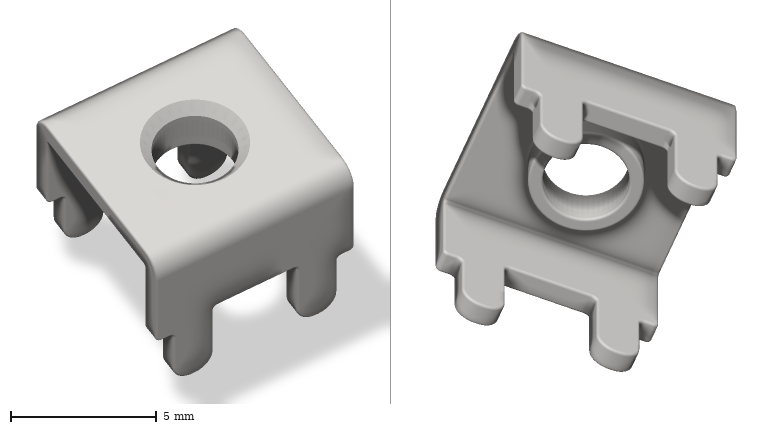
import cadquery as cq

width = 8.0
depth = 8.0
height = 6.85
thickness = 0.8
outer_bend_radius = 0.8
inner_bend_radius = 0.1
edge_radius = 0.1
length_tolerance = 0.001

shoulder_height = 2.65
notch_height = 3.14
leg_width = 1.6
leg_pitch = 5.0
tip_radius = 0.75
corner_radius = 0.2

boss_diameter = 4.0
boss_end_below_top = 2.0
hole_diameter = 3.0
countersink_diameter = 3.8
countersink_angle = 90.0

inner_width = width - 2 * thickness
inner_height = height - thickness
boss_end_z = height - boss_end_below_top


def bent_channel():
    """Sheet bent into a U that opens downward; the leg tips lie at Z = 0."""
    outside = (
        cq.Workplane("XY")
        .box(width, depth, height, centered=(True, True, False))
        .edges("|Y and >Z")
        .fillet(outer_bend_radius)
    )
    inside = (
        cq.Workplane("XY")
        .box(inner_width, depth, inner_height, centered=(True, True, False))
        .edges("|Y and >Z")
        .fillet(inner_bend_radius)
    )
    return outside.cut(inside)


def side_outline():
    """Side silhouette of the walls and legs, extruded across the full width."""
    half_depth = depth / 2
    leg_outer = (leg_pitch + leg_width) / 2
    leg_inner = (leg_pitch - leg_width) / 2
    outline = (
        cq.Workplane("YZ")
        .moveTo(-half_depth, height)
        .lineTo(-half_depth, shoulder_height)
        .lineTo(-leg_outer, shoulder_height)
        .lineTo(-leg_outer, 0)
        .lineTo(-leg_inner, 0)
        .lineTo(-leg_inner, notch_height)
        .lineTo(leg_inner, notch_height)
        .lineTo(leg_inner, 0)
        .lineTo(leg_outer, 0)
        .lineTo(leg_outer, shoulder_height)
        .lineTo(half_depth, shoulder_height)
        .lineTo(half_depth, height)
        .close()
        .extrude(width / 2, both=True)
    )
    outline = outline.edges("|X and <Z").fillet(tip_radius)
    corner_zone = cq.selectors.BoxSelector(
        (-width, -depth, shoulder_height - corner_radius),
        (width, depth, notch_height + corner_radius),
    )
    return outline.edges("|X").edges(corner_zone).fillet(corner_radius)


def is_sheet_edge(edge):
    """True for outline edges, false for bend lines and edges through the thickness."""
    box = edge.BoundingBox()
    is_straight = edge.geomType() == "LINE"
    runs_through_thickness = is_straight and abs(box.xlen - thickness) < length_tolerance
    is_bend_line = abs(box.ylen - depth) < length_tolerance
    return not (runs_through_thickness or is_bend_line)


def round_sheet_edges(sheet):
    edges = [edge for edge in sheet.edges().vals() if is_sheet_edge(edge)]
    return sheet.newObject(edges).fillet(edge_radius)


def add_boss(sheet):
    """Round boss below the plate; it starts halfway through the plate to fuse cleanly."""
    boss = (
        cq.Workplane("XY")
        .workplane(offset=boss_end_z)
        .circle(boss_diameter / 2)
        .extrude(inner_height + thickness / 2 - boss_end_z)
    )
    return sheet.union(boss)


def cut_countersunk_hole(body):
    return (
        body.faces(">Z")
        .workplane(origin=(0, 0, 0))
        .cskHole(hole_diameter, countersink_diameter, countersink_angle)
    )


def round_boss_edges(body):
    """Round the boss root, its outer rim and the lower rim of the hole."""
    boss_zone = cq.selectors.BoxSelector(
        (-boss_diameter / 2, -boss_diameter / 2, boss_end_z - edge_radius),
        (boss_diameter / 2, boss_diameter / 2, inner_height + edge_radius),
    )
    return body.edges("%CIRCLE").edges(boss_zone).fillet(edge_radius)


sheet = round_sheet_edges(bent_channel().intersect(side_outline()))
result = round_boss_edges(cut_countersunk_hole(add_boss(sheet)))